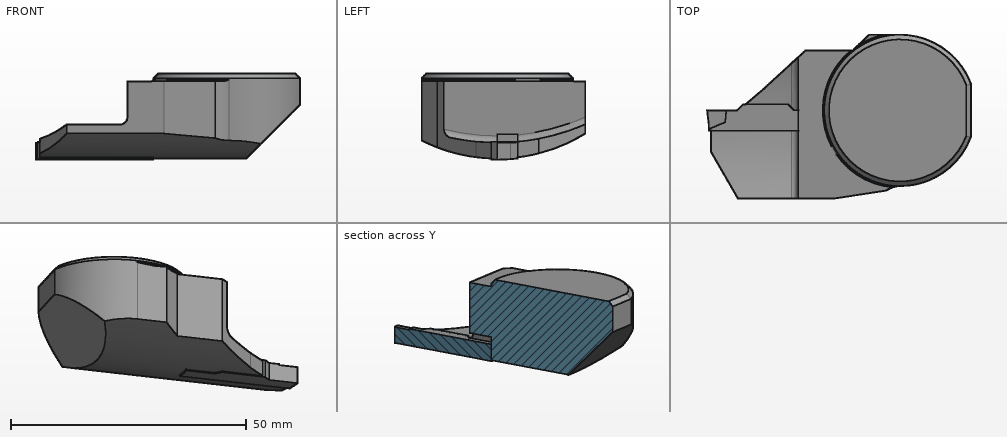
import cadquery as cq
import math


LENGTH = 56.1
HEIGHT = 18.35
DISC_X = 41.0
DISC_RADIUS = 16.1
DISC_CHAMFER = 1.0
DISC_ROOT_FILLET = 0.35

BLOCK_TOP = 16.65
SIDE_Y = -18.75
SHOULDER_Y = 12.75
NOSE_X = 0.85
WALL_X = 19.4
BELLY_RADIUS = 35.35
BELLY_BOTTOM = 0.2
SHELF_RADIUS = 47.1
SHELF_BOTTOM = 3.65
WALL_FILLET = 1.45
UNDERCUT_HEIGHT = 11.65

BLADE_TOP = 3.85
SLOT_CLEARANCE = 1.5
SLOT_TOP = BLADE_TOP + SLOT_CLEARANCE
BLADE_WIDTH = 4.3
BLADE_END_X = 24.9
PAD_START_X = 6.4
PAD_END_X = 18.5
PAD_WIDTH = 1.3
CHIP_DEPTH = 0.2
OVERSIZE = 112.2


def x_cylinder(radius, bottom):
    """Long cylinder along X whose lowest line is at the given height."""
    return (
        cq.Workplane("YZ", origin=(-OVERSIZE / 2, 0, 0))
        .center(0, bottom + radius)
        .circle(radius)
        .extrude(2 * OVERSIZE)
    )


def block_outline():
    """Plan outline of the block, running into the disc on both sides."""
    return (
        cq.Workplane("XY")
        .moveTo(NOSE_X, -8.8)
        .lineTo(6.55, SIDE_Y)
        .lineTo(27.1, SIDE_Y)
        .lineTo(38.1, -17.05)
        .threePointArc((39.45, -16.4), (DISC_X, -DISC_RADIUS))
        .lineTo(DISC_X, DISC_RADIUS)
        .lineTo(34.45, DISC_RADIUS)
        .lineTo(30.95, SHOULDER_Y)
        .lineTo(20.9, SHOULDER_Y)
        .lineTo(12.05, 4.6)
        .lineTo(3.35, -2.8)
        .lineTo(NOSE_X, -2.8)
        .close()
    )


def make_disc():
    """Round boss over the full height, with a flat at the rear and a chamfered top."""
    flat_trim = cq.Workplane("XY").box(LENGTH, OVERSIZE, HEIGHT, centered=(False, True, False))
    flat_trim = flat_trim.edges(">X and >Z").chamfer(DISC_CHAMFER)
    disc = cq.Workplane("XY").center(DISC_X, 0).circle(DISC_RADIUS).extrude(HEIGHT)
    return disc.faces(">Z").edges().chamfer(DISC_CHAMFER).intersect(flat_trim)


def make_root_fillet():
    """Concave ring where the disc rises from the block."""
    inner = DISC_RADIUS
    outer = inner + DISC_ROOT_FILLET
    sag = DISC_ROOT_FILLET * (1 - math.sqrt(0.5))
    ring = (
        cq.Workplane("XZ", origin=(DISC_X, 0, BLOCK_TOP))
        .moveTo(inner, 0)
        .lineTo(outer, 0)
        .threePointArc((inner + sag, sag), (inner, DISC_ROOT_FILLET))
        .close()
        .revolve(360, (0, 0, 0), (0, 1, 0))
    )
    return ring.intersect(block_outline().extrude(HEIGHT))


def make_shelf_cut():
    """Space above the dished shelf, rounded where it meets the wall."""
    space = cq.Workplane("XY").box(OVERSIZE, OVERSIZE, OVERSIZE)
    space = space.translate((WALL_X - OVERSIZE / 2, 0, 0))
    space = space.intersect(x_cylinder(SHELF_RADIUS, SHELF_BOTTOM))
    wall_edge = cq.selectors.BoxSelector(
        (WALL_X - 0.55, -OVERSIZE, -OVERSIZE), (WALL_X + 0.55, OVERSIZE, SHELF_RADIUS), boundingbox=False
    )
    return space.edges(wall_edge).edges("%CIRCLE").fillet(WALL_FILLET)


def make_undercut():
    """45 degree wedge removed from the lower rear corner."""
    return (
        cq.Workplane("XZ")
        .moveTo(LENGTH, UNDERCUT_HEIGHT)
        .lineTo(LENGTH - UNDERCUT_HEIGHT, 0)
        .lineTo(LENGTH, 0)
        .close()
        .extrude(OVERSIZE / 2, both=True)
    )


def blade_outline():
    """Plan outline of the blade, with the wider pad on its +Y side."""
    return cq.Workplane("XY").polyline([
        (0, 0),
        (PAD_START_X, 0),
        (PAD_START_X + PAD_WIDTH, PAD_WIDTH),
        (PAD_END_X - PAD_WIDTH, PAD_WIDTH),
        (PAD_END_X, 0),
        (BLADE_END_X, 0),
        (BLADE_END_X, -BLADE_WIDTH),
        (0.4, -BLADE_WIDTH),
        (0.35, -2.8),
    ]).close()


def make_blade():
    """Cutting blade with a shallow chip breaker at its tip."""
    belly = x_cylinder(BELLY_RADIUS + BELLY_BOTTOM, 0)
    blade = blade_outline().extrude(BLADE_TOP).intersect(belly)
    chip_breaker = (
        cq.Workplane("XY", origin=(0, 0, BLADE_TOP - CHIP_DEPTH))
        .polyline([(0, 0), (4.1, 0), (3.85, -2.5), (0.45, -3.9)])
        .close()
        .extrude(CHIP_DEPTH)
    )
    return blade.cut(chip_breaker)


def make_blade_pocket():
    """Slot for the blade, with clearance above it where it runs in under the wall."""
    return blade_outline().extrude(SLOT_TOP)


def make_housing():
    """Block and disc in one piece, shaped underneath and slotted for the blade."""
    body = block_outline().extrude(BLOCK_TOP).cut(make_shelf_cut())
    body = body.union(make_disc()).union(make_root_fillet())
    body = body.intersect(x_cylinder(BELLY_RADIUS, BELLY_BOTTOM))
    return body.cut(make_undercut()).cut(make_blade_pocket())


housing = make_housing()
blade = make_blade()
result = cq.Compound.makeCompound([housing.val(), blade.val()])